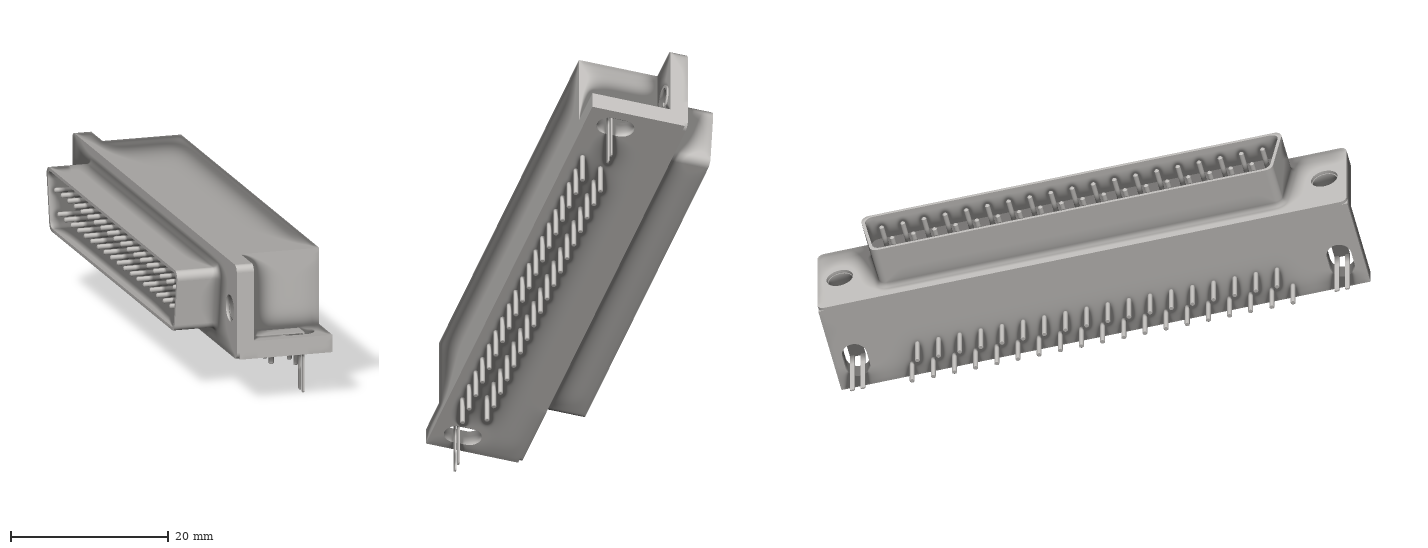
import cadquery as cq
import math


LENGTH = 69.4
HEIGHT = 12.35
DEPTH = 12.8
MID_Z = 6.1
FLANGE_DEPTH = 2.3
SHEET_DEPTH = 0.4
CORNER_RADIUS = 0.9
BLOCK_LENGTH = 58.3
FOOT_HEIGHT = 2.3

SHELL_HEIGHT = 8.2
SHELL_TOP_LENGTH = 55.5
SHELL_REACH = 5.7
SHELL_WALL = 0.4
SHELL_CORNER_RADIUS = 1.05
SHELL_SLOPE = math.radians(10)
SHELL_BASE_FILLET = 0.55
CAVITY_DEPTH = 3.5
CAVITY_FLOOR_Y = CAVITY_DEPTH - SHELL_REACH

CONTACT_DIAMETER = 0.64
CONTACT_PITCH = 2.8
ROW_SPACING = 2.85
TOP_ROW_COUNT = 19
CONTACT_TIP_GAP = 0.2
CONTACT_TIP_CHAMFER = 0.15
TAIL_CHAMFER = 0.1
TAIL_LENGTH = 3.95
REAR_TAIL_Y = DEPTH - 1.8

MOUNT_X = 31.8
MOUNT_HOLE_DIAMETER = 3.2
SHEET_HOLE_DIAMETER = 3.5
SLOT_WIDTH = 3.2
SLOT_LENGTH = 4.9
SLOT_Y = DEPTH - 4.0
LOCK_THICKNESS = 0.2
LOCK_BEND_RADIUS = 0.15
LOCK_WASHER_DIAMETER = 4.0
LOCK_WIDTH = 2.0
LOCK_PRONG_GAP = 0.75
LOCK_DROP = 5.55
LOCK_TIP_CHAMFER = 0.15
LOCK_REAR_Y = DEPTH - 3.1

EMBED = 0.7
EDGE_MARGIN = 0.35


def box(x_size, y_range, z_range, x_mid=0.0):
    """Box centred on x_mid, spanning the given Y and Z ranges."""
    (y0, y1), (z0, z1) = y_range, z_range
    centre = (x_mid, (y0 + y1) / 2, (z0 + z1) / 2)
    return cq.Workplane("XY", origin=centre).box(x_size, y1 - y0, z1 - z0)


def rod(diameter, x, y_range, z):
    """Round bar along Y."""
    y0, y1 = y_range
    return cq.Workplane("XZ", origin=(x, y1, z)).circle(diameter / 2).extrude(y1 - y0)


def make_housing():
    """Flange, contact block and foot, faced by a sheet with four rounded corners."""
    sheet = box(LENGTH, (0, SHEET_DEPTH), (0, HEIGHT)).edges("|Y").fillet(CORNER_RADIUS)
    flange = box(LENGTH, (SHEET_DEPTH, FLANGE_DEPTH), (0, HEIGHT))
    flange = flange.edges("|Y and >Z").fillet(CORNER_RADIUS)
    block = box(BLOCK_LENGTH, (SHEET_DEPTH, DEPTH), (0, HEIGHT))
    foot = box(LENGTH, (SHEET_DEPTH, DEPTH), (0, FOOT_HEIGHT))
    return flange.union(block).union(foot).union(sheet)


def d_prism(inset, back_y, depth):
    """Rounded D-shaped prism from back_y toward -Y; inset moves its walls inward."""
    half_height = SHELL_HEIGHT / 2 - inset
    outer_mid_half = SHELL_TOP_LENGTH / 2 - SHELL_HEIGHT / 2 * math.tan(SHELL_SLOPE)
    mid_half = outer_mid_half - inset / math.cos(SHELL_SLOPE)
    lean = half_height * math.tan(SHELL_SLOPE)
    top_half = mid_half + lean
    bottom_half = mid_half - lean
    points = [
        (-top_half, half_height),
        (top_half, half_height),
        (bottom_half, -half_height),
        (-bottom_half, -half_height),
    ]
    prism = cq.Workplane("XZ", origin=(0, back_y, MID_Z)).polyline(points).close().extrude(depth)
    return prism.edges("|Y").fillet(SHELL_CORNER_RADIUS)


def add_shell(body):
    """Hollow D shell with a rounded root on the flange."""
    body = body.union(d_prism(0, EMBED, SHELL_REACH + EMBED))
    root_box = cq.selectors.BoxSelector(
        (-SHELL_TOP_LENGTH / 2 - EDGE_MARGIN, -EDGE_MARGIN, MID_Z - SHELL_HEIGHT / 2 - EDGE_MARGIN),
        (SHELL_TOP_LENGTH / 2 + EDGE_MARGIN, EDGE_MARGIN, MID_Z + SHELL_HEIGHT / 2 + EDGE_MARGIN),
        boundingbox=True,
    )
    body = body.edges(root_box).fillet(SHELL_BASE_FILLET)
    return body.cut(d_prism(SHELL_WALL, CAVITY_FLOOR_Y, CAVITY_DEPTH))


def add_contact_row(body, count, z, tail_y):
    """Row of mating pins at height z with solder tails below the foot at tail_y."""
    pin_range = (CONTACT_TIP_GAP - SHELL_REACH, CAVITY_FLOOR_Y + EMBED)
    for i in range(count):
        x = (i - (count - 1) / 2) * CONTACT_PITCH
        pin = rod(CONTACT_DIAMETER, x, pin_range, z)
        pin = pin.faces("<Y").chamfer(CONTACT_TIP_CHAMFER)
        tail = cq.Workplane("XY", origin=(x, tail_y, -TAIL_LENGTH)).circle(CONTACT_DIAMETER / 2)
        tail = tail.extrude(TAIL_LENGTH + EMBED).faces("<Z").chamfer(TAIL_CHAMFER)
        body = body.union(pin).union(tail)
    return body


def add_mount(body, x):
    """Slot in the foot and an L-shaped board lock behind the flange hole."""
    slot = cq.Workplane("XY", origin=(x, SLOT_Y, 0)).slot2D(SLOT_LENGTH, SLOT_WIDTH, 90).extrude(FOOT_HEIGHT)
    body = body.cut(slot)

    washer_range = (FLANGE_DEPTH, FLANGE_DEPTH + LOCK_THICKNESS)
    neck_range = (FLANGE_DEPTH, FLANGE_DEPTH + 2 * LOCK_THICKNESS)
    strip_top = FOOT_HEIGHT + LOCK_THICKNESS
    washer = rod(LOCK_WASHER_DIAMETER, x, washer_range, MID_Z)
    neck = box(LOCK_WIDTH, neck_range, (FOOT_HEIGHT, MID_Z), x)
    strip = box(LOCK_WIDTH, (FLANGE_DEPTH, LOCK_REAR_Y), (FOOT_HEIGHT, strip_top), x)
    strip = strip.edges(">Y and >Z").fillet(LOCK_BEND_RADIUS)
    body = body.union(washer).union(neck).union(strip)

    prong_width = (LOCK_WIDTH - LOCK_PRONG_GAP) / 2
    leg_range = (LOCK_REAR_Y - LOCK_THICKNESS, LOCK_REAR_Y)
    for side in (-1, 1):
        prong_x = x + side * (LOCK_PRONG_GAP + prong_width) / 2
        prong = box(prong_width, leg_range, (-LOCK_DROP, FOOT_HEIGHT), prong_x)
        prong = prong.edges("|Y and <Z").chamfer(LOCK_TIP_CHAMFER)
        body = body.union(prong)

    sheet_hole = rod(SHEET_HOLE_DIAMETER, x, (0, SHEET_DEPTH), MID_Z)
    through_hole = rod(MOUNT_HOLE_DIAMETER, x, (0, neck_range[1]), MID_Z)
    return body.cut(sheet_hole).cut(through_hole)


result = add_shell(make_housing())
result = add_contact_row(result, TOP_ROW_COUNT, MID_Z + ROW_SPACING / 2, REAR_TAIL_Y)
result = add_contact_row(result, TOP_ROW_COUNT - 1, MID_Z - ROW_SPACING / 2, REAR_TAIL_Y - ROW_SPACING)
for mount_side in (-1, 1):
    result = add_mount(result, mount_side * MOUNT_X)